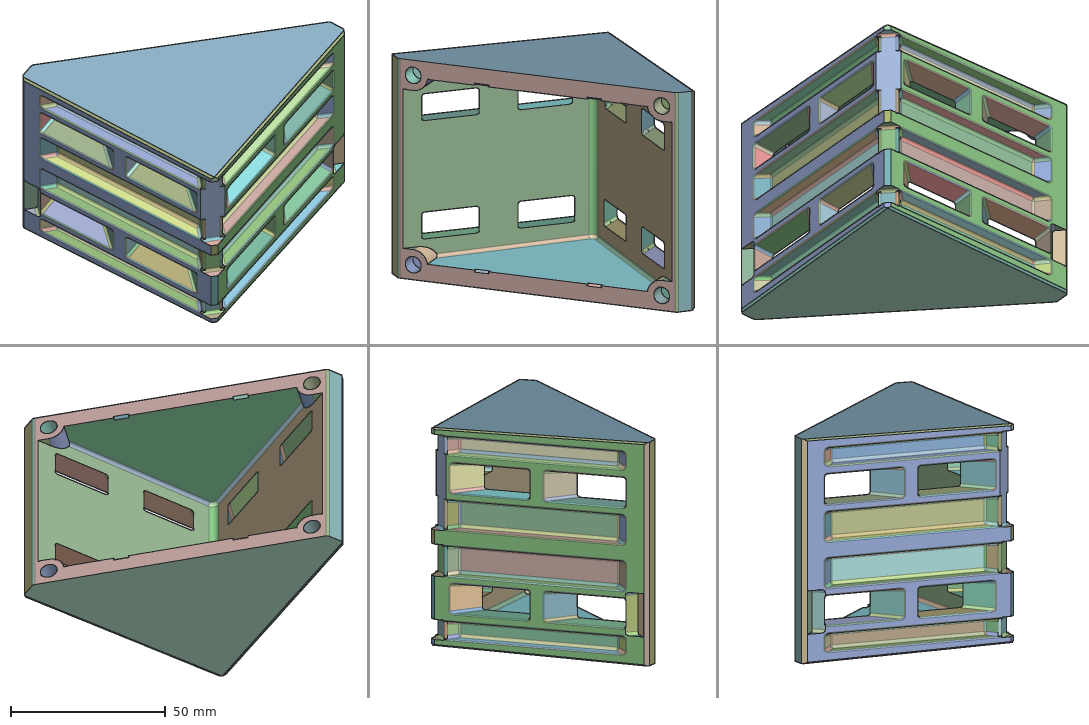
import cadquery as cq
import math

leg = 76.0
height = 74.0
end_width = 6.7
tip_round = 1.5
tip_chamfer = 1.4
corner_chamfer = 1.7
draft = 1.0
rim_bevel_in = 0.9
rim_bevel_down = 0.5

wall = 7.9
cavity_half_height = 31.15
cavity_end_round = 1.15
cavity_round = 2.3

screw_from_tip = 3.7
screw_z = 31.9
boss_radius = 5.1
screw_diameter = 5.55
screw_depth = 6.1

clip_places = (27.2, 55.25)
clip_length = 4.95
clip_height = 0.7
clip_depth = 2.0

groove_start = 7.6
groove_end = 71.3
groove_depth = 4.2
groove_side_slope = 0.3
groove_floor_round = 1.1
inner_groove = (2.7, 12.55)
outer_groove = (27.6, 33.5)
mouth_round = 0.4
window_corner_round = 0.9

window_z = (15.0, 24.9)
window_side_slope = 0.45
near_window = (7.75, 36.3)
far_window = (41.2, 69.0)
near_window_inner_end = 27.7
far_window_inner_end = {1: 60.05, -1: 60.8}

notch_chamfer = 5.7
notch_round = 0.9
ridge_round = 0.9
pocket_start = 1.45
pocket_width = 6.4
pocket_round = 1.1

half_height = height / 2
diagonal = math.sqrt(2)
overrun = 3.8
slope_length = (leg - end_width) * diagonal
full_depth = (leg + end_width) / diagonal
slope_middle = ((leg - end_width) / 2, (leg + end_width) / 2, 0)
slope_plane = cq.Plane(origin=slope_middle, xDir=(-1, -1, 0), normal=(-1, 1, 0))


def other_leg(shape):
    """Mirror a shape from the -Y leg to the +X leg."""
    return shape.mirror(cq.Vector(1, 1, 0), cq.Vector(leg, 0, 0))


def drafted_slab(half_at_slope):
    """Long bar, tallest outside the sloping face and narrowing towards the corner."""
    narrowing = math.tan(math.radians(draft))
    half_outside = half_at_slope + overrun * narrowing
    half_at_corner = half_at_slope - full_depth * narrowing
    section = cq.Plane(origin=slope_middle, xDir=(1, -1, 0), normal=(-1, -1, 0))
    return (
        cq.Workplane(section)
        .polyline([
            (-overrun, -half_outside),
            (full_depth, -half_at_corner),
            (full_depth, half_at_corner),
            (-overrun, half_outside),
        ])
        .close()
        .extrude(slope_length, both=True)
    )


def outer_prism():
    """Drafted solid wedge with its vertical edges dressed."""
    prism = (
        cq.Workplane("XY", origin=(0, 0, -half_height))
        .polyline([(0, 0), (leg, 0), (leg, leg), (leg - end_width, leg), (0, end_width)])
        .close()
        .extrude(height)
    )
    prism = prism.edges(cq.selectors.NearestToPointSelector((leg, 0, 0))).chamfer(corner_chamfer)
    for tip in ((0, 0, 0), (leg, leg, 0)):
        prism = prism.edges(cq.selectors.NearestToPointSelector(tip)).chamfer(tip_chamfer)
    for tip in ((0, end_width, 0), (leg - end_width, leg, 0)):
        prism = prism.edges(cq.selectors.NearestToPointSelector(tip)).fillet(tip_round)
    return prism.intersect(drafted_slab(half_height))


def rim_bevels():
    """Bevel cutters along the top and bottom outer edges of the -Y leg."""
    slope_per_length = math.tan(math.radians(draft)) / diagonal
    bevels = []
    for side in (1, -1):
        sections = []
        for x in (0, leg):
            z = half_height - (x + end_width) * slope_per_length
            edge = [(x, 0, z - rim_bevel_down), (x, rim_bevel_in, z), (x, 0, z + rim_bevel_down)]
            corners = [cq.Vector(px, py, side * pz) for px, py, pz in edge]
            sections.append(cq.Wire.makePolygon(corners, close=True))
        bevels.append(cq.Solid.makeLoft(sections, True))
    return cq.Workplane(cq.Compound.makeCompound(bevels))


def cavity():
    """Drafted hollow, open at the sloping face."""
    shift = overrun * diagonal
    hollow = (
        cq.Workplane("XY", origin=(0, 0, -half_height))
        .polyline([
            (wall - end_width - shift, wall),
            (leg - wall, wall),
            (leg - wall, leg - wall + end_width + shift),
        ])
        .close()
        .extrude(height)
    )
    corner = cq.selectors.NearestToPointSelector((leg - wall, wall, 0))
    hollow = hollow.edges(corner).fillet(cavity_round)
    hollow = hollow.intersect(drafted_slab(cavity_half_height))
    return hollow.faces("<Y or >X").edges("not |Z").fillet(cavity_end_round)


def at_screws(shape_at):
    """Collect the solids that shape_at(frame, end) makes at the four screws.

    The end is 1 or -1, the side of the nearer tip along the sloping face.
    """
    along = slope_length / 2 - screw_from_tip * diagonal
    placed = []
    for end in (1, -1):
        for z in (-screw_z, screw_z):
            frame = cq.Workplane(slope_plane).center(end * along, z)
            placed.append(shape_at(frame, end).val())
    return cq.Workplane(cq.Compound.makeCompound(placed))


def boss(frame, end):
    """Round post joined to the tip by a straight web."""
    web_length = 2 * boss_radius
    post = frame.circle(boss_radius).extrude(-full_depth)
    web = frame.center(end * web_length / 2, 0).rect(web_length, 2 * boss_radius).extrude(-full_depth)
    return post.union(web)


def screw_hole(frame, _end):
    return frame.circle(screw_diameter / 2).extrude(-screw_depth)


def clip_notches():
    """Bevelled notches in the top and bottom rims of the cavity."""
    notches = []
    for y in clip_places:
        for side in (1, -1):
            section = cq.Plane(origin=(y - end_width, y, 0), xDir=(1, -1, 0), normal=(-1, -1, 0))
            notch = (
                cq.Workplane(section)
                .polyline([
                    (0, side * (cavity_half_height - clip_height)),
                    (0, side * (cavity_half_height + clip_height)),
                    (clip_depth, side * (cavity_half_height - clip_height)),
                ])
                .close()
                .extrude(clip_length / 2, both=True)
            )
            notches.append(notch.val())
    return cq.Workplane(cq.Compound.makeCompound(notches))


def tapered_opening(outer, inner, depth):
    """Opening from the -Y face inwards; outer and inner are (x start, x end, z start, z end)."""
    ends = []
    for bounds, y in ((outer, 0), (inner, depth)):
        left, right, low, high = bounds
        corners = ((left, low), (right, low), (right, high), (left, high))
        ends.append(cq.Wire.makePolygon([cq.Vector(x, y, z) for x, z in corners], close=True))
    return cq.Workplane(cq.Solid.makeLoft(ends, True))


def mirrored_range(span, side):
    """Z range above (side 1) or below (side -1) the middle."""
    return tuple(sorted(side * z for z in span))


def groove(z_range):
    z0, z1 = z_range
    outer = (groove_start, groove_end, z0, z1)
    inner = (
        groove_start + groove_depth,
        groove_end - groove_depth,
        z0 + groove_side_slope,
        z1 - groove_side_slope,
    )
    return tapered_opening(outer, inner, groove_depth).edges("not <Y").fillet(groove_floor_round)


def window(x_range, inner_end, side):
    z0, z1 = mirrored_range(window_z, side)
    outer = (*x_range, z0, z1)
    inner = (x_range[0], inner_end, z0 + window_side_slope, z1 - window_side_slope)
    opening = tapered_opening(outer, inner, wall)
    return opening.edges("not #Y").fillet(window_corner_round)


def v_pocket():
    """V-shaped pocket near the tip, in line with the lower windows."""
    rib = (inner_groove[1] + mouth_round, outer_groove[0] - mouth_round)
    z0, z1 = mirrored_range(rib, -1)
    half = pocket_width / 2
    pocket = (
        cq.Workplane("XY", origin=(pocket_start, 0, z0))
        .polyline([(0, 0), (half, half), (pocket_width, 0)])
        .close()
        .extrude(z1 - z0)
    )
    steep_side = cq.selectors.DirectionMinMaxSelector(cq.Vector(1, 1, 0))
    return pocket.faces(steep_side).edges("not |Z").fillet(pocket_round)


def corner_notch(span):
    """Cut the corner back to a wide chamfer between two lugs."""
    z0 = span[0] - mouth_round
    z1 = span[1] + mouth_round
    size = 2 * notch_chamfer
    frame = cq.Plane(
        origin=(leg - notch_chamfer / 2, notch_chamfer / 2, (z0 + z1) / 2),
        xDir=(1, 1, 0),
        normal=(1, -1, 0),
    )
    block = cq.Workplane(frame).rect(size, z1 - z0).extrude(size)
    cut_face = cq.selectors.DirectionMinMaxSelector(cq.Vector(-1, 1, 0))
    return block.faces(cut_face).edges("not |Z").fillet(notch_round)


def leg_openings():
    """Grooves and windows of the -Y leg."""
    cutters = []
    for side in (1, -1):
        cutters.append(groove(mirrored_range(inner_groove, side)))
        cutters.append(groove(mirrored_range(outer_groove, side)))
        cutters.append(window(near_window, near_window_inner_end, side))
        cutters.append(window(far_window, far_window_inner_end[side], side))
    return cutters


def cut_both_legs(body, cutter):
    return body.cut(cutter).cut(other_leg(cutter))


def round_mouths(body):
    """Fillet the mouths of the openings in both outer faces."""
    for face in ("<Y", ">X"):
        mouths = [edge for wire in body.faces(face).val().innerWires() for edge in wire.Edges()]
        body = body.newObject([body.findSolid().fillet(mouth_round, mouths)])
    return body


def ridge_rounder(z_range):
    """Cutter that rounds the ridge between a groove's end slope and the cut-back corner."""
    ridge_y = (groove_end - (leg - notch_chamfer)) / 2
    ridge_x = groove_end - ridge_y
    half = ridge_round / diagonal
    return (
        cq.Workplane("XY", origin=(ridge_x, 0, z_range[0]))
        .moveTo(-half, 0)
        .lineTo(-half, ridge_y + half)
        .threePointArc((0, ridge_y + ridge_round * (diagonal - 1)), (half, ridge_y + half))
        .lineTo(half, 0)
        .close()
        .extrude(z_range[1] - z_range[0])
    )


result = outer_prism()
for opening in leg_openings():
    result = cut_both_legs(result, opening)
result = round_mouths(result)

result = result.cut(corner_notch((inner_groove[0], outer_groove[1])))
for low_groove in (inner_groove, outer_groove):
    result = result.cut(corner_notch(mirrored_range(low_groove, -1)))
for side in (1, -1):
    for span in (inner_groove, outer_groove):
        result = cut_both_legs(result, ridge_rounder(mirrored_range(span, side)))

result = cut_both_legs(result, rim_bevels())
result = cut_both_legs(result, v_pocket())
result = result.cut(cavity().cut(at_screws(boss)))
result = result.cut(at_screws(screw_hole)).cut(clip_notches())